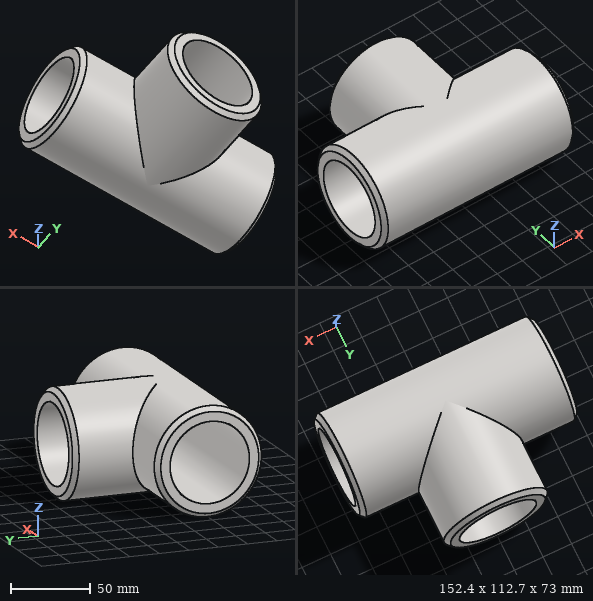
import cadquery as cq

run_length = 152.4
branch_reach = run_length / 2
outer_diameter = 73.0
bore_diameter = 54.0
end_chamfer = 3.2


def run_cylinder(diameter):
    """Cylinder along X, centred on the origin."""
    return cq.Workplane("YZ").circle(diameter / 2).extrude(run_length / 2, both=True)


def branch_cylinder(diameter):
    """Cylinder from the run axis to the branch end, along +Y."""
    return cq.Workplane("XZ").circle(diameter / 2).extrude(-branch_reach)


run_body = run_cylinder(outer_diameter).faces("<X or >X").chamfer(end_chamfer)
branch_body = branch_cylinder(outer_diameter).faces(">Y").chamfer(end_chamfer)
body = run_body.union(branch_body)

bores = run_cylinder(bore_diameter).union(branch_cylinder(bore_diameter))

result = body.cut(bores)